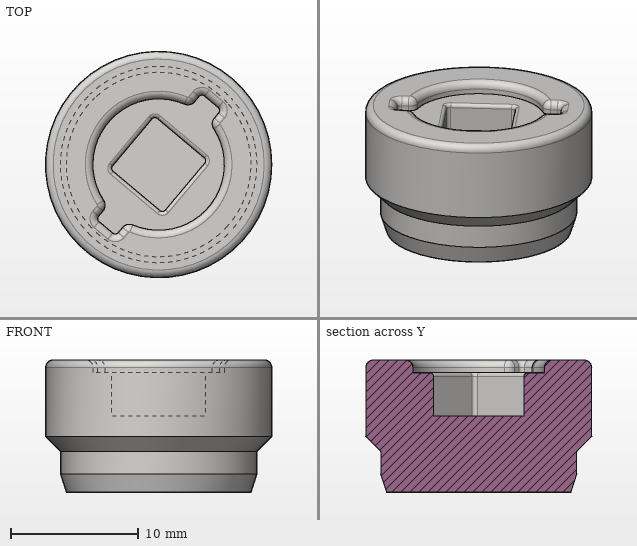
import cadquery as cq

body_radius = 8.88
body_height = 10.4
neck_radius = 7.71
foot_radius = 7.25
foot_height = 1.42
neck_top = 3.2
shoulder_height = body_radius - neck_radius
edge_round = 0.6

turn_angle = 50.0
recess_depth = 1.0
recess_radius = 5.15
tab_reach = 6.43
tab_width = 2.0
tab_corner_radius = 0.3
tab_root_radius = 0.7

socket_width = 5.4
socket_depth = 3.4
socket_corner_radius = 0.3
socket_edge_round = 0.3

recess_floor = body_height - recess_depth
socket_floor = recess_floor - socket_depth


def make_body():
    """Revolved plug with a tapered foot, a neck and a rounded top rim."""
    profile = [
        (0, 0),
        (foot_radius, 0),
        (neck_radius, foot_height),
        (neck_radius, neck_top),
        (body_radius, neck_top + shoulder_height),
        (body_radius, body_height),
        (0, body_height),
    ]
    body = cq.Workplane("XZ").polyline(profile).close().revolve(360, (0, 0), (0, 1))
    return body.faces(">Z").edges().fillet(edge_round)


def cut_recess(body):
    """Sink the round recess with its tabs and round its rim."""
    disc = cq.Workplane("XY").circle(recess_radius).extrude(recess_depth)
    bar = cq.Workplane("XY").rect(2 * tab_reach, tab_width).extrude(recess_depth)
    bar = bar.edges("|Z").fillet(tab_corner_radius)
    root_x = (recess_radius**2 - (tab_width / 2) ** 2) ** 0.5
    cutter = disc.union(bar)
    for x in (-root_x, root_x):
        for y in (-tab_width / 2, tab_width / 2):
            root = cq.selectors.NearestToPointSelector((x, y, recess_depth / 2))
            cutter = cutter.edges("|Z").edges(root).fillet(tab_root_radius)
    cutter = cutter.rotate((0, 0, 0), (0, 0, 1), turn_angle).translate((0, 0, recess_floor))
    recessed = body.cut(cutter)
    rim_box = cq.selectors.BoxSelector(
        (-tab_reach, -tab_reach, body_height - edge_round / 2),
        (tab_reach, tab_reach, body_height + edge_round / 2),
        boundingbox=True,
    )
    return recessed.edges(rim_box).fillet(edge_round)


def cut_socket(body):
    """Sink the blind square socket and round its mouth."""
    cutter = cq.Workplane("XY").rect(socket_width, socket_width).extrude(socket_depth)
    cutter = cutter.edges("|Z").fillet(socket_corner_radius)
    cutter = cutter.rotate((0, 0, 0), (0, 0, 1), turn_angle).translate((0, 0, socket_floor))
    drilled = body.cut(cutter)
    mouth_reach = socket_width / 2**0.5 + socket_edge_round
    mouth_box = cq.selectors.BoxSelector(
        (-mouth_reach, -mouth_reach, recess_floor - socket_edge_round),
        (mouth_reach, mouth_reach, recess_floor + socket_edge_round),
        boundingbox=True,
    )
    return drilled.edges(mouth_box).fillet(socket_edge_round)


result = cut_socket(cut_recess(make_body()))